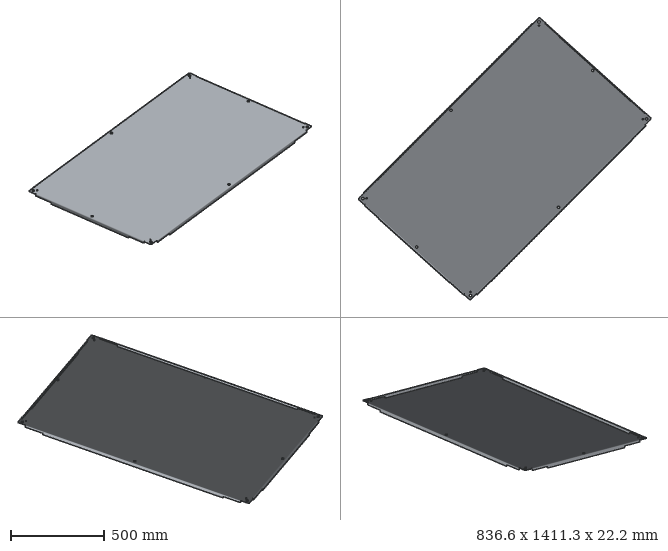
import cadquery as cq

WIDTH = 836.61
LENGTH = 1411.29
HEIGHT = 22.23

SHEET = 2.66
BEND_INNER_RADIUS = 3.4
BEND_OUTER_RADIUS = BEND_INNER_RADIUS + SHEET

EAR_INSET_X = 4.5
EAR_INSET_Y = 0.4
PLATE_WIDTH = WIDTH - 2 * EAR_INSET_X
PLATE_LENGTH = LENGTH - 2 * EAR_INSET_Y
CORNER_RADIUS = 7.5

SHALLOW_DEPTH = 12.7
SIDE_FLANGE_LENGTH = 1312.0
SIDE_DEEP_LENGTH = 1099.0
END_FLANGE_LENGTH = 733.0
END_DEEP_LENGTH = 526.0
FLANGE_CORNER_RADIUS = 5.0

MOUNT_HOLE_DIAMETER = 12.7
MOUNT_HOLE_X = 396.9
MOUNT_HOLE_Y = 684.8
PILOT_HOLE_DIAMETER = 7.14
PILOT_HOLE_OFFSET = 14.3


def make_plate():
    """Flat sheet with rounded corners, cut back along the flanges to leave room for the bends."""
    plate = (
        cq.Workplane("XY")
        .rect(PLATE_WIDTH, PLATE_LENGTH)
        .extrude(-SHEET)
        .edges("|Z")
        .fillet(CORNER_RADIUS)
    )
    side_strips = (
        cq.Workplane("XY")
        .pushPoints([(-WIDTH / 2, 0), (WIDTH / 2, 0)])
        .rect(2 * BEND_OUTER_RADIUS, SIDE_FLANGE_LENGTH)
        .extrude(-SHEET)
    )
    end_strips = (
        cq.Workplane("XY")
        .pushPoints([(0, -LENGTH / 2), (0, LENGTH / 2)])
        .rect(END_FLANGE_LENGTH, 2 * BEND_OUTER_RADIUS)
        .extrude(-SHEET)
    )
    return plate.cut(side_strips).cut(end_strips)


def make_flange_web(web_length, depth, reach):
    """Block from X = 0 to reach, hanging down from Z = 0, whose lower end corners are rounded."""
    return (
        cq.Workplane("XY")
        .box(reach, web_length, depth, centered=(False, True, False))
        .translate((0, 0, -depth))
        .edges("|X")
        .edges("<Z")
        .fillet(FLANGE_CORNER_RADIUS)
    )


def make_flange(flange_length, deep_length, outer_face):
    """Flange folded down at X = outer_face, running along Y, with the bend that joins it to the plate."""
    bend_start = outer_face - BEND_OUTER_RADIUS
    folded_strip = (
        cq.Workplane("XZ")
        .moveTo(bend_start, 0)
        .radiusArc((outer_face, -BEND_OUTER_RADIUS), BEND_OUTER_RADIUS)
        .lineTo(outer_face, -HEIGHT)
        .lineTo(outer_face - SHEET, -HEIGHT)
        .lineTo(outer_face - SHEET, -BEND_OUTER_RADIUS)
        .radiusArc((bend_start, -SHEET), -BEND_INNER_RADIUS)
        .close()
        .extrude(flange_length / 2, both=True)
    )
    stepped_outline = make_flange_web(flange_length, SHALLOW_DEPTH, outer_face).union(
        make_flange_web(deep_length, HEIGHT, outer_face)
    )
    return folded_strip.intersect(stepped_outline)


def drill(points, diameter):
    """Round cutters through the sheet at the given points."""
    return cq.Workplane("XY").pushPoints(points).circle(diameter / 2).extrude(-SHEET)


def make_holes():
    """Cutters for the eight mounting holes and the pilot hole beside each corner one."""
    corner_signs = [(sx, sy) for sx in (-1, 1) for sy in (-1, 1)]
    mount_signs = corner_signs + [(-1, 0), (1, 0), (0, -1), (0, 1)]
    mount_points = [(sx * MOUNT_HOLE_X, sy * MOUNT_HOLE_Y) for sx, sy in mount_signs]
    pilot_x = MOUNT_HOLE_X - PILOT_HOLE_OFFSET
    pilot_y = MOUNT_HOLE_Y - PILOT_HOLE_OFFSET
    pilot_points = [(sx * pilot_x, sy * pilot_y) for sx, sy in corner_signs]
    return drill(mount_points, MOUNT_HOLE_DIAMETER).union(drill(pilot_points, PILOT_HOLE_DIAMETER))


side_flange = make_flange(SIDE_FLANGE_LENGTH, SIDE_DEEP_LENGTH, WIDTH / 2)
end_flange = make_flange(END_FLANGE_LENGTH, END_DEEP_LENGTH, LENGTH / 2)

panel = make_plate()
for turn in (0, 180):
    panel = panel.union(side_flange.rotate((0, 0, 0), (0, 0, 1), turn))
    panel = panel.union(end_flange.rotate((0, 0, 0), (0, 0, 1), turn + 90))

result = panel.cut(make_holes())